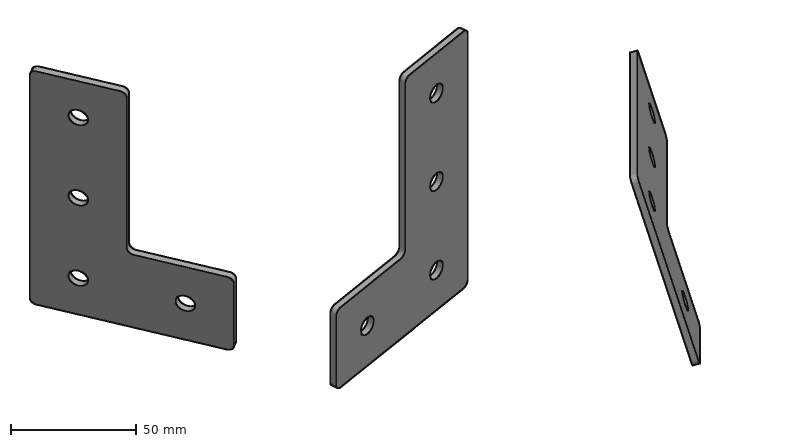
import cadquery as cq

height = 131.0
width = 86.0
thickness = 3.0
hole_spacing = 45.0
hole_diameter = 8.3
corner_radius = 3.0

arm_width = width - hole_spacing
hole_margin = arm_width / 2

outline = [
    (0, 0),
    (width, 0),
    (width, arm_width),
    (arm_width, arm_width),
    (arm_width, height),
    (0, height),
]

hole_steps = [(0, 0), (1, 0), (0, 1), (0, 2)]
hole_centres = [
    (hole_margin + across * hole_spacing, hole_margin + up * hole_spacing)
    for across, up in hole_steps
]

plate = cq.Workplane("XZ").polyline(outline).close().extrude(thickness)
plate = plate.edges("|Y").fillet(corner_radius)

holes = (
    cq.Workplane("XZ")
    .pushPoints(hole_centres)
    .circle(hole_diameter / 2)
    .extrude(thickness)
)

result = plate.cut(holes)